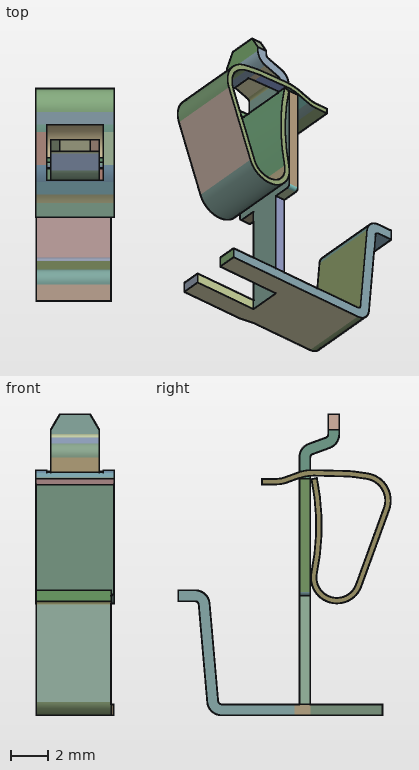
import cadquery as cq
import math


sheet = 0.6
bend_inside = 0.2
bend_radius = bend_inside + sheet / 2
body_width = 4.15

base_back = 4.46
base_bend_start = -4.14
front_end = -6.47
flange_top = 6.7
leg_bend = 85
leg_width = 4.01
taper_length = 0.85

post_width = 1.88
wing_bottom = 6.39
wing_top = 12.65
wing_corner = 0.2
tongue_width = 2.61
tongue_tip_width = 1.63
tongue_tip_start = 15.26
tongue_top = 16.1
crank_start = 13.78
crank_bend = 70
crank_offset = 1.55

spring = 0.3
clip_width = 4.2
clip_tip_y = -2.0
clip_tip_z = 12.5
lip_length = 0.77
lip_bend = 20
lip_radius = 1.45
ramp_length = 0.71
crest_radius = 2.33
roof_slope = 1.5
roof_length = 1.75
shoulder_radius = 3.55
shoulder_slope = 8
shoulder_length = 0.66
back_corner_radius = 1.32
back_lean = 20
back_length = 4.35
loop_radius = 1.24
bow_lean = 11.6
bow_radius = 12.53
window_floor = wing_top
window_width = 3.01
window_back = 2.96

cut_room = 32.2


def point_at(start, angle, distance):
    """Point (y, z) reached from start; angle in degrees from +Y toward +Z."""
    turn = math.radians(angle)
    return start[0] + distance * math.cos(turn), start[1] + distance * math.sin(turn)


def line(length):
    return length, 0, 0


def bend(radius, angle):
    """Bend of the strip's middle; a positive angle is counterclockwise with Y right and Z up."""
    return 0, radius, angle


def bent_strip(start, heading, moves, thickness, width):
    """Strip centred on X = 0 that follows straight runs and bends in the YZ plane."""
    section_plane = cq.Plane(
        origin=(0, *start), xDir=(1, 0, 0), normal=(0, *point_at((0, 0), heading, 1))
    )
    path = cq.Workplane("YZ").moveTo(*start)
    here = start
    for length, radius, angle in moves:
        if angle == 0:
            here = point_at(here, heading, length)
            path = path.lineTo(*here)
        else:
            chord = 2 * radius * math.sin(math.radians(abs(angle) / 2))
            half_chord = 2 * radius * math.sin(math.radians(abs(angle) / 4))
            middle = point_at(here, heading + angle / 4, half_chord)
            here = point_at(here, heading + angle / 2, chord)
            path = path.threePointArc(middle, here)
            heading += angle
    return cq.Workplane(section_plane).rect(width, thickness).sweep(path)


def double_bend(angle):
    """Advance along and shift across the first heading of two equal, opposite bends."""
    turn = math.radians(angle)
    return 2 * bend_radius * math.sin(turn), 2 * bend_radius * (1 - math.cos(turn))


def make_base():
    """Forked base with a tapered right edge, bent up into the leg and out into a flange."""
    leg_turn = math.radians(leg_bend)
    bends_along, bends_up = double_bend(leg_bend)
    leg_length = (flange_top - sheet - bends_up) / math.sin(leg_turn)
    leg_front = base_bend_start - bends_along - leg_length * math.cos(leg_turn)
    strip = bent_strip(
        (base_back, sheet / 2),
        180,
        [
            line(base_back - base_bend_start),
            bend(bend_radius, -leg_bend),
            line(leg_length),
            bend(bend_radius, leg_bend),
            line(leg_front - front_end),
        ],
        sheet,
        body_width,
    )
    left = -body_width / 2
    right = body_width / 2
    leg_right = left + leg_width
    outline = (
        cq.Workplane("XY")
        .polyline(
            [
                (left, front_end),
                (leg_right, front_end),
                (leg_right, sheet - taper_length),
                (right, sheet),
                (right, base_back),
                (post_width / 2, base_back),
                (post_width / 2, sheet),
                (-post_width / 2, sheet),
                (-post_width / 2, base_back),
                (left, base_back),
            ]
        )
        .close()
        .extrude(tongue_top)
    )
    return strip.intersect(outline)


def make_post():
    """Upright post with wings and a tongue that cranks backward to a chamfered tip."""
    crank_turn = math.radians(crank_bend)
    bends_up, bends_back = double_bend(crank_bend)
    slant_length = (crank_offset - bends_back) / math.sin(crank_turn)
    crank_end = crank_start + bends_up + slant_length * math.cos(crank_turn)
    strip = bent_strip(
        (sheet / 2, 0),
        90,
        [
            line(crank_start),
            bend(bend_radius, -crank_bend),
            line(slant_length),
            bend(bend_radius, crank_bend),
            line(tongue_top - crank_end),
        ],
        sheet,
        body_width,
    )
    column = cq.Workplane("XY").box(post_width, cut_room, wing_top, centered=(True, True, False))
    wings = (
        cq.Workplane("XY", origin=(0, 0, wing_bottom))
        .box(body_width, cut_room, wing_top - wing_bottom, centered=(True, True, False))
        .edges("|Y and <Z")
        .fillet(wing_corner)
    )
    tongue = (
        cq.Workplane("XZ")
        .polyline(
            [
                (-tongue_width / 2, wing_top),
                (tongue_width / 2, wing_top),
                (tongue_width / 2, tongue_tip_start),
                (tongue_tip_width / 2, tongue_top),
                (-tongue_tip_width / 2, tongue_top),
                (-tongue_width / 2, tongue_tip_start),
            ]
        )
        .close()
        .extrude(cut_room / 2, both=True)
    )
    return strip.intersect(column.union(wings).union(tongue))


def make_clip():
    """Spring clip with a front lip, a windowed roof, a lower loop and a bowed inner strand."""
    strip = bent_strip(
        (clip_tip_y, clip_tip_z),
        0,
        [
            line(lip_length),
            bend(lip_radius, lip_bend),
            line(ramp_length),
            bend(crest_radius, -lip_bend - roof_slope),
            line(roof_length),
            bend(shoulder_radius, roof_slope - shoulder_slope),
            line(shoulder_length),
            bend(back_corner_radius, shoulder_slope - 90 - back_lean),
            line(back_length),
            bend(loop_radius, back_lean - bow_lean - 180),
            bend(bow_radius, 2 * bow_lean),
        ],
        spring,
        clip_width,
    )
    window = cq.Workplane("XY", origin=(0, 0, window_floor)).box(
        window_width, window_back, cut_room, centered=(True, False, False)
    )
    return strip.cut(window)


result = make_base().union(make_post()).union(make_clip())